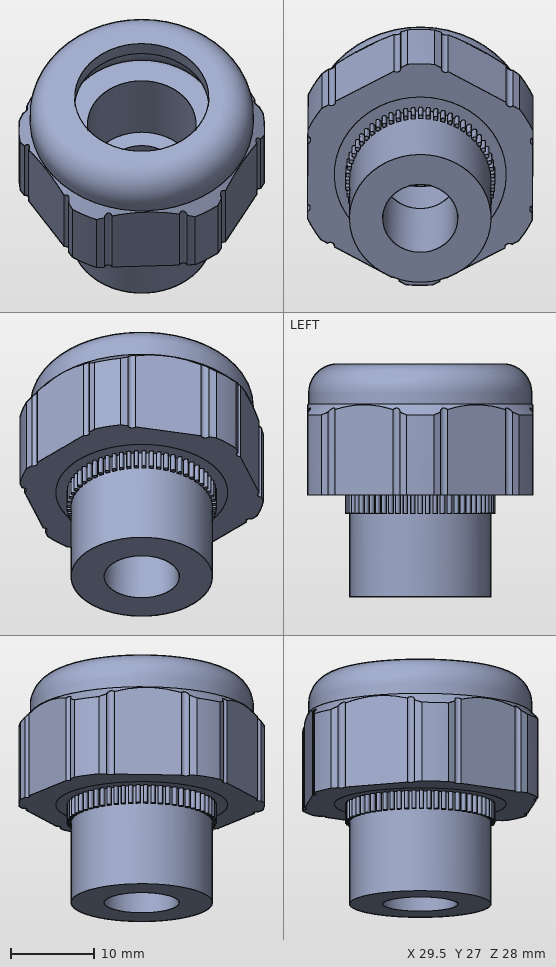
import cadquery as cq
import math

TOTAL_HEIGHT = 27.98
NUT_BOTTOM = 12.2
HEX_WIDTH = 27.0
CORNER_RADIUS = 14.75
DOME_DIAMETER = 26.8
DOME_RADIUS = DOME_DIAMETER / 2
DOME_ROUND = 3.48
DOME_BASE = 23.17
HEX_SIDES = 6

GROOVE_RADIUS = 0.5
GROOVE_DEPTH = 0.32
GROOVE_OFFSET = 4.5

MOUTH_RADIUS = 8.05
MOUTH_DEPTH = 2.0
RECESS_RADIUS = 8.87
RECESS_WALL_DEPTH = 3.48
FLARE_RADIUS = 3.0
SEAT_RADIUS = 10.32

INSERT_TOP = 22.55
COLLAR_ROUND = 1.3
STUB_RADIUS = 8.5
POCKET_RADIUS = 6.52
POCKET_FLOOR = NUT_BOTTOM
BORE_RADIUS = 4.5

RIB_COUNT = 60
RIB_BOTTOM = 10.02
RIB_TIP_RADIUS = 9.0
RIB_WIDTH = 0.5


def ring_positions(count):
    """Angles in degrees of evenly spaced items."""
    return [index * 360 / count for index in range(count)]


def nut_envelope():
    """Turned outer shape of the nut: corner cylinder, 45 degree shoulder and domed top."""
    shoulder_bottom = DOME_BASE - (CORNER_RADIUS - DOME_RADIUS)
    round_start = TOTAL_HEIGHT - DOME_ROUND
    flat_radius = DOME_RADIUS - DOME_ROUND
    arc_reach = DOME_ROUND * math.sqrt(0.5)
    return (
        cq.Workplane("XZ")
        .moveTo(0, NUT_BOTTOM)
        .lineTo(CORNER_RADIUS, NUT_BOTTOM)
        .lineTo(CORNER_RADIUS, shoulder_bottom)
        .lineTo(DOME_RADIUS, DOME_BASE)
        .lineTo(DOME_RADIUS, round_start)
        .threePointArc((flat_radius + arc_reach, round_start + arc_reach), (flat_radius, TOTAL_HEIGHT))
        .lineTo(0, TOTAL_HEIGHT)
        .close()
        .revolve(360, (0, 0), (0, 1))
    )


def hexagon_prism():
    """Hexagon with one flat facing +Y."""
    across_corners = HEX_WIDTH / math.cos(math.pi / HEX_SIDES)
    return (
        cq.Workplane("XY", origin=(0, 0, NUT_BOTTOM))
        .polygon(HEX_SIDES, across_corners)
        .extrude(TOTAL_HEIGHT - NUT_BOTTOM)
    )


def grip_grooves():
    """Two round-bottomed grooves near the ends of every hexagon flat."""
    axis_distance = HEX_WIDTH / 2 + GROOVE_RADIUS - GROOVE_DEPTH
    pair = (
        cq.Workplane("XY", origin=(0, 0, NUT_BOTTOM))
        .pushPoints([(-GROOVE_OFFSET, axis_distance), (GROOVE_OFFSET, axis_distance)])
        .circle(GROOVE_RADIUS)
        .extrude(TOTAL_HEIGHT - NUT_BOTTOM)
    )
    grooves = cq.Workplane("XY")
    for angle in ring_positions(HEX_SIDES):
        grooves = grooves.add(pair.rotate((0, 0, 0), (0, 0, 1), angle).vals())
    return grooves.combine()


def nut_cavity():
    """Turned cavity: seat for the insert, flare narrowing to a recess, and a narrower mouth."""
    recess_top = TOTAL_HEIGHT - MOUTH_DEPTH
    flare_top = TOTAL_HEIGHT - RECESS_WALL_DEPTH
    flare_angle = math.acos(1 - (SEAT_RADIUS - RECESS_RADIUS) / FLARE_RADIUS)

    def flare_point(angle):
        return (
            RECESS_RADIUS + FLARE_RADIUS * (1 - math.cos(angle)),
            flare_top - FLARE_RADIUS * math.sin(angle),
        )

    return (
        cq.Workplane("XZ")
        .moveTo(0, NUT_BOTTOM)
        .lineTo(SEAT_RADIUS, NUT_BOTTOM)
        .lineTo(*flare_point(flare_angle))
        .threePointArc(flare_point(flare_angle / 2), flare_point(0))
        .lineTo(RECESS_RADIUS, recess_top)
        .lineTo(MOUTH_RADIUS, recess_top)
        .lineTo(MOUTH_RADIUS, TOTAL_HEIGHT)
        .lineTo(0, TOTAL_HEIGHT)
        .close()
        .revolve(360, (0, 0), (0, 1))
    )


def make_nut():
    """Hexagonal cap nut with a domed top and an open cavity."""
    hexagon = hexagon_prism().cut(grip_grooves())
    return nut_envelope().intersect(hexagon).cut(nut_cavity())


def insert_core():
    """Stub, wider round-topped collar filling the seat of the nut, and a stepped bore."""
    core = cq.Workplane("XY").circle(STUB_RADIUS).extrude(NUT_BOTTOM)
    collar = (
        cq.Workplane("XY", origin=(0, 0, NUT_BOTTOM))
        .circle(SEAT_RADIUS)
        .extrude(INSERT_TOP - NUT_BOTTOM)
        .faces(">Z")
        .edges()
        .fillet(COLLAR_ROUND)
    )
    pocket = (
        cq.Workplane("XY", origin=(0, 0, POCKET_FLOOR))
        .circle(POCKET_RADIUS)
        .extrude(INSERT_TOP - POCKET_FLOOR)
    )
    bore = cq.Workplane("XY").circle(BORE_RADIUS).extrude(INSERT_TOP)
    return core.union(collar).cut(pocket).cut(bore)


def rib():
    """One round-topped rib pointing along +X, rooted inside the stub wall."""
    half_width = RIB_WIDTH / 2
    root = STUB_RADIUS - half_width
    shoulder = RIB_TIP_RADIUS - half_width
    return (
        cq.Workplane("XY", origin=(0, 0, RIB_BOTTOM))
        .moveTo(root, -half_width)
        .lineTo(shoulder, -half_width)
        .threePointArc((RIB_TIP_RADIUS, 0), (shoulder, half_width))
        .lineTo(root, half_width)
        .close()
        .extrude(NUT_BOTTOM - RIB_BOTTOM)
    )


def make_insert():
    """Insert with its ring of ribs fused on."""
    one_rib = rib()
    ribs = [one_rib.rotate((0, 0, 0), (0, 0, 1), angle).val() for angle in ring_positions(RIB_COUNT)]
    return cq.Workplane(insert_core().val().fuse(*ribs))


nut = make_nut()
insert = make_insert()
result = cq.Compound.makeCompound([nut.val(), insert.val()])